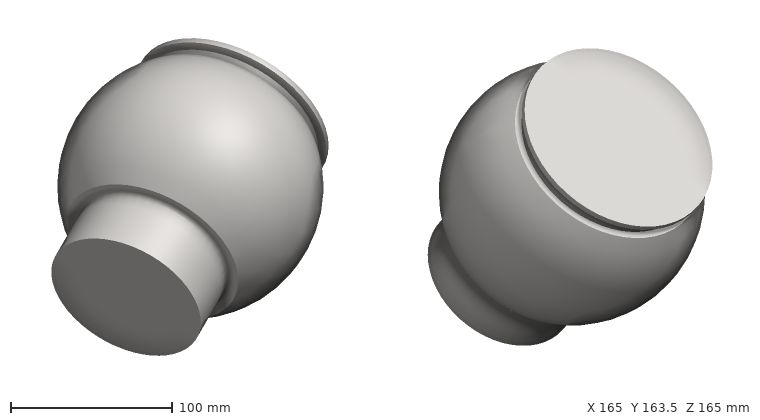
import cadquery as cq
import math

body_radius = 82.5
front_flat_y = -58.5
back_flat_y = 51.0

overall_length = 163.5
spigot_radius = 50.7
spigot_fillet = 3.0

back_end_y = 64.7
neck_radius = 60.5
flange_radius = 65.0
flange_rim_width = 3.8
flange_bevel_width = 1.7

front_end_y = back_end_y - overall_length
flange_rim_y = back_end_y - flange_rim_width
neck_end_y = flange_rim_y - flange_bevel_width

front_flat_radius = math.sqrt(body_radius**2 - front_flat_y**2)
back_flat_radius = math.sqrt(body_radius**2 - back_flat_y**2)

fillet_centre_radius = spigot_radius + spigot_fillet
fillet_centre_y = front_flat_y - spigot_fillet
fillet_offset = spigot_fillet * math.sqrt(0.5)
fillet_middle = (fillet_centre_radius - fillet_offset, fillet_centre_y + fillet_offset)

profile = (
    cq.Workplane("XY")
    .moveTo(0, front_end_y)
    .lineTo(spigot_radius, front_end_y)
    .lineTo(spigot_radius, fillet_centre_y)
    .threePointArc(fillet_middle, (fillet_centre_radius, front_flat_y))
    .lineTo(front_flat_radius, front_flat_y)
    .threePointArc((body_radius, 0), (back_flat_radius, back_flat_y))
    .lineTo(neck_radius, back_flat_y)
    .lineTo(neck_radius, neck_end_y)
    .lineTo(flange_radius, flange_rim_y)
    .lineTo(flange_radius, back_end_y)
    .lineTo(0, back_end_y)
    .close()
)

result = profile.revolve(360, (0, 0, 0), (0, 1, 0))